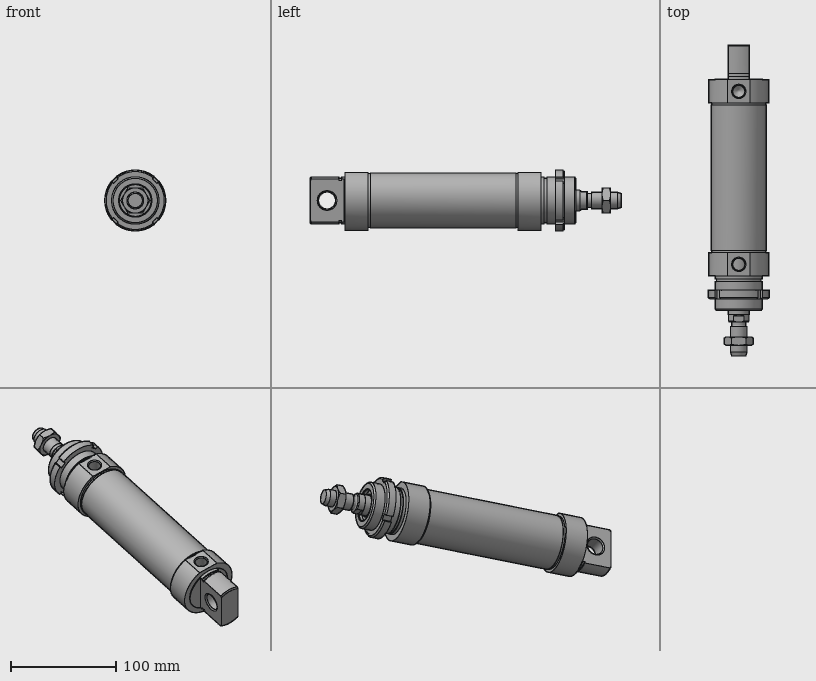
import cadquery as cq
import math


TOTAL_LENGTH = 295.0
COVER_LENGTH = 22.0
FRONT_FACE_Y = 43.0
FRONT_COVER_Y = 76.0
REAR_COVER_END_Y = 262.0
BARREL_START_Y = FRONT_COVER_Y + COVER_LENGTH
BARREL_END_Y = REAR_COVER_END_Y - COVER_LENGTH

COVER_DIAMETER = 57.2
COVER_FLAT_HEIGHT = 26.6
NECK_DIAMETER = 45.0
NECK_CHAMFER = 1.5
GROOVE_DIAMETER = 42.5
GROOVE_WIDTH = 2.6
FRONT_GROOVE_Y = 70.6
RECESS_DIAMETER = 30.0
RECESS_CHAMFER = 0.8
RECESS_DEPTH = 4.0
LIP_DIAMETER = 22.0
LIP_HEIGHT = 1.5
PORT_DIAMETER = 11.45
PORT_MOUTH_DIAMETER = 13.5
FRONT_PORT_DEPTH = 20.0
REAR_PORT_DEPTH = 12.0
DRILL_POINT_ANGLE = 118.0

CLEVIS_THICKNESS = 20.0
CLEVIS_CHAMFER = 1.2
CLEVIS_HOLE_DIAMETER = 16.0
CLEVIS_HOLE_MOUTH_DIAMETER = 18.6
CLEVIS_HOLE_Y = TOTAL_LENGTH - 16.0
PAD_LENGTH = 0.8
REAR_GROOVE_Y = 265.1

BARREL_DIAMETER = 52.4
BARREL_END_DIAMETER = 51.4
BARREL_END_LENGTH = 2.0

ROD_DIAMETER = 20.0
WRENCH_DIAMETER = 19.5
WRENCH_FLATS = 17.0
WRENCH_START_Y = 32.2
WRENCH_END_Y = 39.3
WRENCH_FLAT_LENGTH = 5.9
WRENCH_CHAMFER = 1.0
UNDERCUT_DIAMETER = 13.5
UNDERCUT_FILLET = 0.6
THREAD_DIAMETER = 16.0
THREAD_TIP_DIAMETER = 13.5
THREAD_END_Y = 28.2
THREAD_CHAMFER_LENGTH = 3.8

HEX_FLATS = 24.0
HEX_THICKNESS = 8.0
HEX_START_Y = 10.2
HEX_CHAMFER_ANGLE = 30.0

RING_DIAMETER = 58.0
RING_START_Y = 54.0
RING_THICKNESS = 8.5
RING_CHAMFER = 1.5
RING_SLOT_COUNT = 4
RING_SLOT_WIDTH = 6.0
RING_SLOT_FLOOR_RADIUS = 26.0


def turned(profile):
    """Solid of revolution about Y; profile holds (radius, y) points."""
    return cq.Workplane("XY").polyline(profile).close().revolve(360, (0, 0, 0), (0, 1, 0))


def cylinder(diameter, start_y, end_y):
    radius = diameter / 2
    return turned([(0, start_y), (radius, start_y), (radius, end_y), (0, end_y)])


def cover_ring(start_y):
    """Large round section of a cover, cut flat on top where the port opens."""
    ring = cylinder(COVER_DIAMETER, start_y, start_y + COVER_LENGTH)
    above_flat = cq.Workplane("XY").box(
        COVER_DIAMETER, COVER_LENGTH, COVER_DIAMETER, centered=(True, False, False)
    )
    return ring.cut(above_flat.translate((0, start_y, COVER_FLAT_HEIGHT)))


def port(center_y, depth):
    """Drilled port with a countersunk mouth and a conical bottom."""
    hole_radius = PORT_DIAMETER / 2
    mouth_radius = PORT_MOUTH_DIAMETER / 2
    floor_z = COVER_FLAT_HEIGHT - depth
    point_z = floor_z - hole_radius / math.tan(math.radians(DRILL_POINT_ANGLE / 2))
    mouth_z = COVER_FLAT_HEIGHT - (mouth_radius - hole_radius)
    profile = [
        (0, point_z),
        (hole_radius, floor_z),
        (hole_radius, mouth_z),
        (mouth_radius, COVER_FLAT_HEIGHT),
        (0, COVER_FLAT_HEIGHT),
    ]
    drill = cq.Workplane("XZ").polyline(profile).close().revolve(360, (0, 0, 0), (0, 1, 0))
    return drill.translate((0, center_y, 0))


def groove(start_y):
    """Square relief groove running around the neck."""
    end_y = start_y + GROOVE_WIDTH
    return cylinder(COVER_DIAMETER, start_y, end_y).cut(cylinder(GROOVE_DIAMETER, start_y, end_y))


def make_front_cover():
    neck_radius = NECK_DIAMETER / 2
    neck = turned([
        (0, FRONT_FACE_Y),
        (neck_radius - NECK_CHAMFER, FRONT_FACE_Y),
        (neck_radius, FRONT_FACE_Y + NECK_CHAMFER),
        (neck_radius, FRONT_COVER_Y),
        (0, FRONT_COVER_Y),
    ])
    recess_radius = RECESS_DIAMETER / 2
    lip_radius = LIP_DIAMETER / 2
    floor_y = FRONT_FACE_Y + RECESS_DEPTH
    recess = turned([
        (0, FRONT_FACE_Y),
        (recess_radius + RECESS_CHAMFER, FRONT_FACE_Y),
        (recess_radius, FRONT_FACE_Y + RECESS_CHAMFER),
        (recess_radius, floor_y),
        (lip_radius, floor_y),
        (lip_radius, floor_y - LIP_HEIGHT),
        (0, floor_y - LIP_HEIGHT),
    ])
    rod_bore = cylinder(ROD_DIAMETER, FRONT_FACE_Y, BARREL_START_Y)
    cover = neck.union(cover_ring(FRONT_COVER_Y))
    port_hole = port(FRONT_COVER_Y + COVER_LENGTH / 2, FRONT_PORT_DEPTH)
    return cover.cut(groove(FRONT_GROOVE_Y)).cut(recess).cut(rod_bore).cut(port_hole)


def make_rear_cover():
    neck_radius = NECK_DIAMETER / 2
    stem = turned([
        (0, REAR_COVER_END_Y),
        (neck_radius, REAR_COVER_END_Y),
        (neck_radius, TOTAL_LENGTH - CLEVIS_CHAMFER),
        (neck_radius - CLEVIS_CHAMFER, TOTAL_LENGTH),
        (0, TOTAL_LENGTH),
    ])
    stem_length = TOTAL_LENGTH - REAR_COVER_END_Y
    tongue_envelope = cq.Workplane("XY").box(
        CLEVIS_THICKNESS, stem_length, NECK_DIAMETER, centered=(True, False, True)
    )
    tongue = stem.cut(groove(REAR_GROOVE_Y)).intersect(tongue_envelope.translate((0, REAR_COVER_END_Y, 0)))
    pad = cylinder(NECK_DIAMETER, REAR_COVER_END_Y, REAR_COVER_END_Y + PAD_LENGTH)
    cover = cover_ring(BARREL_END_Y).union(pad).union(tongue)
    return cover.cut(clevis_hole()).cut(port(BARREL_END_Y + COVER_LENGTH / 2, REAR_PORT_DEPTH))


def clevis_hole():
    """Cross hole through the clevis, countersunk on both sides."""
    hole_radius = CLEVIS_HOLE_DIAMETER / 2
    mouth_radius = CLEVIS_HOLE_MOUTH_DIAMETER / 2
    half_thickness = CLEVIS_THICKNESS / 2
    bore_half_length = half_thickness - (mouth_radius - hole_radius)
    profile = [
        (-half_thickness, 0),
        (-half_thickness, mouth_radius),
        (-bore_half_length, hole_radius),
        (bore_half_length, hole_radius),
        (half_thickness, mouth_radius),
        (half_thickness, 0),
    ]
    hole = cq.Workplane("XY").polyline(profile).close().revolve(360, (0, 0, 0), (1, 0, 0))
    return hole.translate((0, CLEVIS_HOLE_Y, 0))


def make_barrel():
    """Barrel with a slightly smaller step at each end."""
    body = cylinder(BARREL_DIAMETER, BARREL_START_Y + BARREL_END_LENGTH, BARREL_END_Y - BARREL_END_LENGTH)
    return body.union(cylinder(BARREL_END_DIAMETER, BARREL_START_Y, BARREL_END_Y))


def make_rod():
    thread_radius = THREAD_DIAMETER / 2
    undercut_radius = UNDERCUT_DIAMETER / 2
    wrench_radius = WRENCH_DIAMETER / 2
    rod_radius = ROD_DIAMETER / 2
    fillet_top = undercut_radius + UNDERCUT_FILLET
    fillet_mid_offset = UNDERCUT_FILLET * (1 - math.cos(math.radians(45)))
    outline = (
        cq.Workplane("XY")
        .lineTo(THREAD_TIP_DIAMETER / 2, 0)
        .lineTo(thread_radius, THREAD_CHAMFER_LENGTH)
        .lineTo(thread_radius, THREAD_END_Y)
        .lineTo(fillet_top, THREAD_END_Y)
        .threePointArc(
            (undercut_radius + fillet_mid_offset, THREAD_END_Y + fillet_mid_offset),
            (undercut_radius, THREAD_END_Y + UNDERCUT_FILLET),
        )
        .lineTo(undercut_radius, WRENCH_START_Y - UNDERCUT_FILLET)
        .threePointArc(
            (undercut_radius + fillet_mid_offset, WRENCH_START_Y - fillet_mid_offset),
            (fillet_top, WRENCH_START_Y),
        )
        .lineTo(wrench_radius - WRENCH_CHAMFER, WRENCH_START_Y)
        .lineTo(wrench_radius, WRENCH_START_Y + WRENCH_CHAMFER)
        .lineTo(wrench_radius, WRENCH_END_Y)
        .lineTo(rod_radius, WRENCH_END_Y)
        .lineTo(rod_radius, BARREL_START_Y)
        .lineTo(0, BARREL_START_Y)
        .close()
    )
    rod = outline.revolve(360, (0, 0, 0), (0, 1, 0))
    flat_cut = wrench_flat_cut()
    return rod.cut(flat_cut).cut(flat_cut.mirror("XY"))


def wrench_flat_cut():
    """Material above the upper wrench flat, whose inner end ramps up at 45 degrees."""
    flat_z = WRENCH_FLATS / 2
    ramp_start_y = WRENCH_START_Y + WRENCH_FLAT_LENGTH
    rise = ROD_DIAMETER - flat_z
    profile = [
        (WRENCH_START_Y, flat_z),
        (ramp_start_y, flat_z),
        (ramp_start_y + rise, ROD_DIAMETER),
        (WRENCH_START_Y, ROD_DIAMETER),
    ]
    return cq.Workplane("YZ").polyline(profile).close().extrude(ROD_DIAMETER / 2, both=True)


def make_hex_nut():
    corner_diameter = HEX_FLATS / math.cos(math.radians(30))
    corner_radius = corner_diameter / 2
    flat_radius = HEX_FLATS / 2
    chamfer_length = (corner_radius - flat_radius) * math.tan(math.radians(HEX_CHAMFER_ANGLE))
    end_y = HEX_START_Y + HEX_THICKNESS
    prism = cq.Workplane("XZ").polygon(6, corner_diameter).extrude(-HEX_THICKNESS)
    envelope = turned([
        (0, HEX_START_Y),
        (flat_radius, HEX_START_Y),
        (corner_radius, HEX_START_Y + chamfer_length),
        (corner_radius, end_y - chamfer_length),
        (flat_radius, end_y),
        (0, end_y),
    ])
    nut = prism.translate((0, HEX_START_Y, 0)).intersect(envelope)
    return nut.cut(cylinder(THREAD_DIAMETER, HEX_START_Y, end_y))


def make_slotted_nut():
    ring_radius = RING_DIAMETER / 2
    bore_radius = NECK_DIAMETER / 2
    end_y = RING_START_Y + RING_THICKNESS
    nut = turned([
        (bore_radius, RING_START_Y),
        (ring_radius - RING_CHAMFER, RING_START_Y),
        (ring_radius, RING_START_Y + RING_CHAMFER),
        (ring_radius, end_y),
        (bore_radius, end_y),
    ])
    slot_pitch = 360 / RING_SLOT_COUNT
    slot_cut = cq.Workplane("XY").box(
        ring_radius, RING_THICKNESS, RING_SLOT_WIDTH, centered=(False, False, True)
    ).translate((RING_SLOT_FLOOR_RADIUS, RING_START_Y, 0))
    for index in range(RING_SLOT_COUNT):
        angle = (index + 0.5) * slot_pitch
        nut = nut.cut(slot_cut.rotate((0, 0, 0), (0, 1, 0), angle))
    return nut


front_cover = make_front_cover()
rear_cover = make_rear_cover()
barrel = make_barrel()
rod = make_rod()
hex_nut = make_hex_nut()
slotted_nut = make_slotted_nut()

result = cq.Compound.makeCompound([
    front_cover.val(),
    rear_cover.val(),
    barrel.val(),
    rod.val(),
    hex_nut.val(),
    slotted_nut.val(),
])